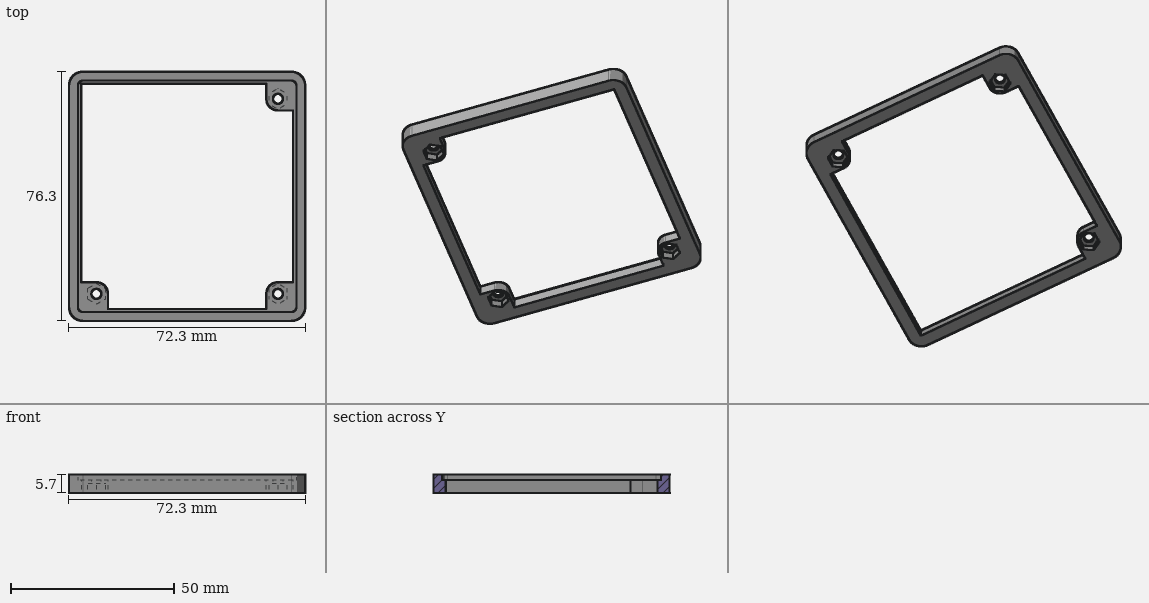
import cadquery as cq

frame_x = 72.3
frame_y = 76.3
frame_height = 5.7
outer_radius = 4.3

rim_width = 2.75
recess_depth = 1.7
recess_x = frame_x - 2 * rim_width
recess_y = frame_y - 2 * rim_width
recess_radius = outer_radius - rim_width
ledge_height = frame_height - recess_depth

opening_x = 64.7
opening_y = 68.8

hole_diameter = 3.0
hole_spacing_x = 55.55
hole_spacing_y = 59.7
tab_radius = 3.6
nut_across_flats = 5.5
nut_pocket_depth = 3.0
tab_corners = [(1, 1), (1, -1), (-1, -1)]


def rounded_block(size_x, size_y, height, radius):
    """Block standing on Z = 0 with rounded vertical edges."""
    block = cq.Workplane("XY").rect(size_x, size_y).extrude(height)
    return block.edges("|Z").fillet(radius)


def corner_tab(sign_x, sign_y):
    """Tab from the recess corner to just past its hole, rounded on the free corner."""
    free_x = hole_spacing_x / 2 - tab_radius
    free_y = hole_spacing_y / 2 - tab_radius
    size_x = recess_x / 2 - free_x
    size_y = recess_y / 2 - free_y
    center = (sign_x * (free_x + size_x / 2), sign_y * (free_y + size_y / 2))
    tab = cq.Workplane("XY").center(*center).rect(size_x, size_y).extrude(ledge_height)
    free_edge = tab.edges("|Z").edges(cq.selectors.NearestToPointSelector((0, 0, ledge_height / 2)))
    return free_edge.fillet(tab_radius)


result = rounded_block(frame_x, frame_y, frame_height, outer_radius)
result = result.cut(cq.Workplane("XY").rect(opening_x, opening_y).extrude(frame_height))
recess = rounded_block(recess_x, recess_y, recess_depth, recess_radius)
result = result.cut(recess.translate((0, 0, ledge_height)))

for sign_x, sign_y in tab_corners:
    result = result.union(corner_tab(sign_x, sign_y))

hole_centers = [(sx * hole_spacing_x / 2, sy * hole_spacing_y / 2) for sx, sy in tab_corners]
holes = cq.Workplane("XY").pushPoints(hole_centers).circle(hole_diameter / 2).extrude(frame_height)
result = result.cut(holes)

for center in hole_centers:
    pocket = cq.Workplane("XY").polygon(6, nut_across_flats, circumscribed=True).extrude(nut_pocket_depth)
    result = result.cut(pocket.translate(center))